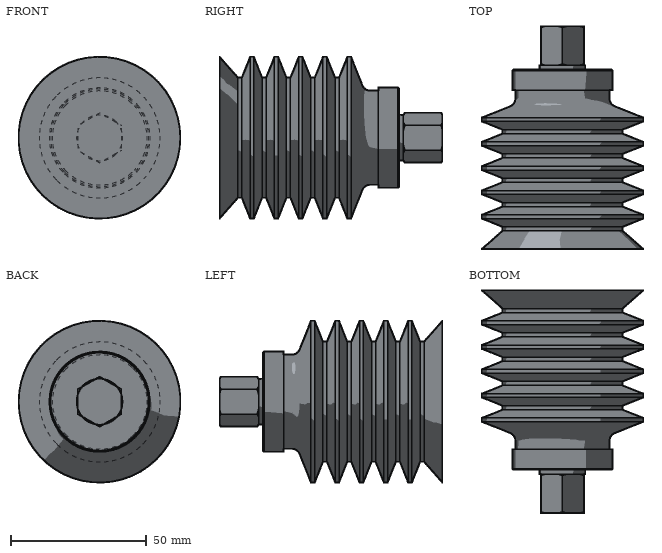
import cadquery as cq
import math

TOTAL_LENGTH = 82.5
RIM_RADIUS = 60.0 / 2
GROOVE_RADIUS = 44.6 / 2

LIP_LENGTH = 6.8
GROOVE_WIDTH = 1.5
CONE_LENGTH = 3.05
RIM_WIDTH = 1.4
FOLD_COUNT = 5

NECK_RADIUS = 35.0 / 2
NECK_BLEND_RADIUS = 3.0
NECK_END = 58.8
COLLAR_RADIUS = 37.2 / 2
COLLAR_END = 66.5
COLLAR_CHAMFER = 0.5

HUB_RADIUS = 17.0 / 2
HEX_START = 68.1
HEX_ACROSS_FLATS = 16.0
HEX_CHAMFER_LENGTH = 0.5

FOLD_PITCH = GROOVE_WIDTH + 2 * CONE_LENGTH + RIM_WIDTH
HEX_CORNER_RADIUS = HEX_ACROSS_FLATS / math.sqrt(3)


def revolve_y(profile):
    """Revolve a closed (radius, Y) profile a full turn about the Y axis."""
    return profile.close().revolve(360, (0, 0, 0), (0, 1, 0))


def make_bellows():
    """Flared lip, identical folds, and a last cone blending into the neck."""
    profile = cq.Workplane("XY").lineTo(RIM_RADIUS, 0).lineTo(GROOVE_RADIUS, LIP_LENGTH)
    for fold in range(FOLD_COUNT):
        groove_end = LIP_LENGTH + fold * FOLD_PITCH + GROOVE_WIDTH
        rim_start = groove_end + CONE_LENGTH
        rim_end = rim_start + RIM_WIDTH
        profile = profile.lineTo(GROOVE_RADIUS, groove_end)
        profile = profile.lineTo(RIM_RADIUS, rim_start).lineTo(RIM_RADIUS, rim_end)
        if fold < FOLD_COUNT - 1:
            profile = profile.lineTo(GROOVE_RADIUS, rim_end + CONE_LENGTH)

    cone_angle = math.atan2(RIM_RADIUS - GROOVE_RADIUS, CONE_LENGTH)
    cone_neck_crossing = rim_end + (RIM_RADIUS - NECK_RADIUS) / math.tan(cone_angle)
    blend_end = cone_neck_crossing + NECK_BLEND_RADIUS * math.tan(cone_angle / 2)

    def blend_point(angle):
        return (
            NECK_RADIUS + NECK_BLEND_RADIUS * (1 - math.cos(angle)),
            blend_end - NECK_BLEND_RADIUS * math.sin(angle),
        )

    profile = profile.lineTo(*blend_point(cone_angle))
    profile = profile.threePointArc(blend_point(cone_angle / 2), (NECK_RADIUS, blend_end))
    profile = profile.lineTo(NECK_RADIUS, NECK_END).lineTo(0, NECK_END)
    return revolve_y(profile)


def cylinder_y(radius, start, end):
    """Solid cylinder along Y between two stations."""
    return cq.Workplane("XZ", origin=(0, start, 0)).circle(radius).extrude(start - end)


def make_collar():
    collar = cylinder_y(COLLAR_RADIUS, NECK_END, COLLAR_END)
    return collar.faces(">Y").chamfer(COLLAR_CHAMFER)


def make_hex():
    """Hexagon with corners toward +Z and -Z, its corners turned down at both ends."""
    hexagon = (
        cq.Workplane("XZ", origin=(0, HEX_START, 0))
        .transformed(rotate=(0, 0, 90))
        .polygon(6, 2 * HEX_CORNER_RADIUS)
        .extrude(HEX_START - TOTAL_LENGTH)
    )
    turned_envelope = revolve_y(
        cq.Workplane("XY")
        .moveTo(0, HEX_START)
        .lineTo(HUB_RADIUS, HEX_START)
        .lineTo(HEX_CORNER_RADIUS, HEX_START + HEX_CHAMFER_LENGTH)
        .lineTo(HEX_CORNER_RADIUS, TOTAL_LENGTH - HEX_CHAMFER_LENGTH)
        .lineTo(HUB_RADIUS, TOTAL_LENGTH)
        .lineTo(0, TOTAL_LENGTH)
    )
    return hexagon.intersect(turned_envelope)


hub = cylinder_y(HUB_RADIUS, COLLAR_END, HEX_START)
result = make_bellows().union(make_collar()).union(hub).union(make_hex())